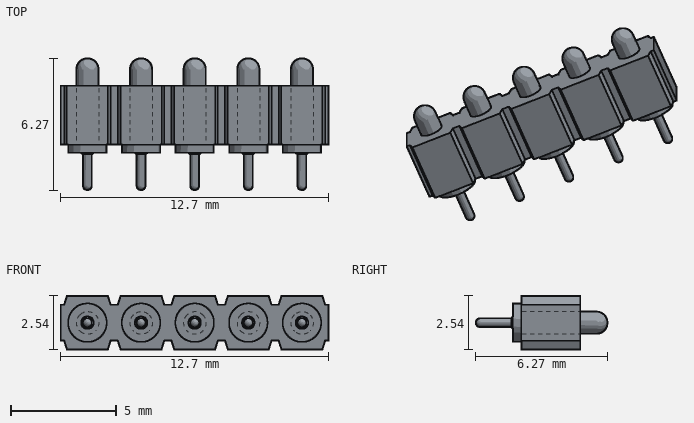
import cadquery as cq
import math

length = 12.7
height = 2.54
depth = 2.8
contact_count = 5
pitch = length / contact_count

groove_depth = 0.42
groove_mouth_width = 0.6
groove_floor_width = 0.33

plunger_diameter = 1.07
plunger_reach = 1.3
flange_diameter = 1.83
flange_thickness = 0.4
collar_diameter = 0.6
collar_length = 0.08
tail_diameter = 0.43
tail_reach = 1.77

flange_front = -flange_thickness
tail_end = flange_front - tail_reach
plunger_end = depth + plunger_reach

contact_positions = [(i - (contact_count - 1) / 2) * pitch for i in range(contact_count)]
groove_positions = [(i - contact_count / 2) * pitch for i in range(contact_count + 1)]


def make_groove_cutter(x, side):
    """Trapezoidal bar for one groove; side is +1 for the top face, -1 for the bottom."""
    mouth = side * height / 2
    floor = mouth - side * groove_depth
    return (
        cq.Workplane("XZ")
        .polyline([
            (x - groove_mouth_width / 2, mouth),
            (x - groove_floor_width / 2, floor),
            (x + groove_floor_width / 2, floor),
            (x + groove_mouth_width / 2, mouth),
        ])
        .close()
        .extrude(-depth)
    )


def make_housing():
    """Grooved bar with one through hole per contact; the end grooves leave half a groove."""
    body = cq.Workplane("XY").box(length, depth, height, centered=(True, False, True))
    for x in groove_positions:
        for side in (1, -1):
            body = body.cut(make_groove_cutter(x, side))
    holes = (
        cq.Workplane("XZ")
        .pushPoints([(x, 0) for x in contact_positions])
        .circle(plunger_diameter / 2)
        .extrude(-depth)
    )
    return body.cut(holes)


def make_contact(x):
    """Domed plunger through the housing, flange on its front face and round-ended tail."""
    plunger_radius = plunger_diameter / 2
    flange_radius = flange_diameter / 2
    tail_radius = tail_diameter / 2
    dome_start = plunger_end - plunger_radius
    dome_diagonal = plunger_radius * math.sqrt(0.5)
    tip_start = tail_end + tail_radius
    tip_diagonal = tail_radius * math.sqrt(0.5)
    profile = (
        cq.Workplane("XY")
        .moveTo(0, tail_end)
        .threePointArc((tip_diagonal, tip_start - tip_diagonal), (tail_radius, tip_start))
        .lineTo(tail_radius, flange_front - collar_length)
        .lineTo(collar_diameter / 2, flange_front)
        .lineTo(flange_radius, flange_front)
        .lineTo(flange_radius, 0)
        .lineTo(plunger_radius, 0)
        .lineTo(plunger_radius, dome_start)
        .threePointArc((dome_diagonal, dome_start + dome_diagonal), (0, plunger_end))
        .close()
    )
    return profile.revolve(360, (0, 0), (0, 1)).translate((x, 0, 0))


housing = make_housing()
contacts = [make_contact(x) for x in contact_positions]

result = cq.Compound.makeCompound([housing.val(), *[contact.val() for contact in contacts]])